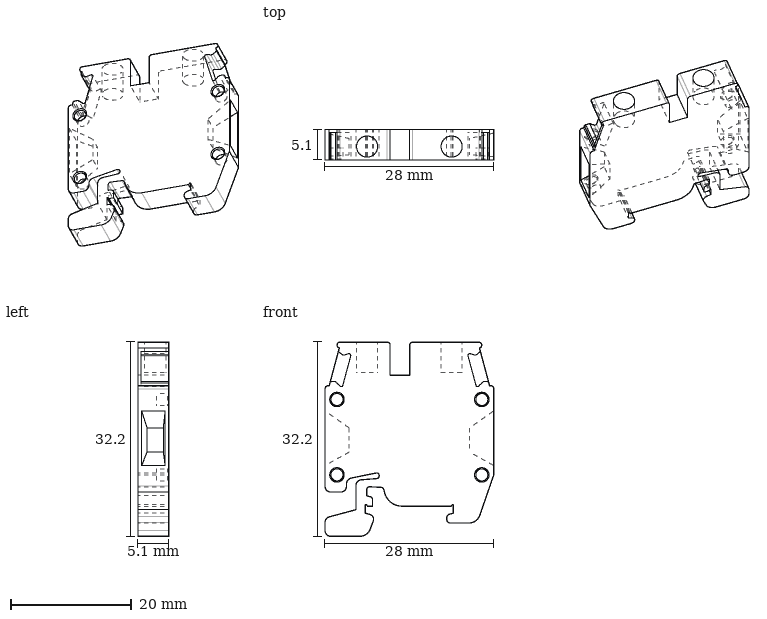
import cadquery as cq
import math

length = 28.0
thickness = 5.1
height = 32.21
mid_x = length / 2

draft = math.tan(math.radians(15))

body_bottom = 7.34
body_radius = 1.0
left_leg_right = 3.6

shoulder_bead_radius = 0.55
shoulder_bead_x = shoulder_bead_radius
shoulder_bead_z = 24.44
head_bead_radius = 0.5
head_bead_z = height - head_bead_radius
head_bead_x = shoulder_bead_x + (head_bead_z - shoulder_bead_z) * draft

notch_left = 10.83
notch_right = 14.05
notch_floor = 26.72
notch_radius = 0.5

seat_height = 5.0
seat_left = 6.72
seat_right = 21.26
relief_rise = 0.26
relief_flat = 0.14
relief_width = 0.36
lip_height = 3.87

hook_left = 20.15
hook_bottom = 2.2
hook_bottom_right = 25.23
hook_tip_radius = 0.7
hook_heel_radius = 2.0
hook_slope_top = 10.2

arm_left = 5.12
arm_right = 6.96
arm_foot_height = 4.45
arm_radius = 1.0
tooth_right = 7.9
tooth_root_height = 6.75
tooth_radius = 0.5
foot_radius = 1.0
toe_x = 7.07
toe_radius = 1.9
toe_tip_x = 8.36
toe_tip_z = lip_height - (toe_tip_x - seat_left) * draft
toe_tip_radius = 0.85

slit_end = 8.97
slit_upper_left = 9.5
slit_upper_end = 10.6
slit_lower_left = 9.34
slit_lower_end = 9.64
slit_end_radius = 0.4

pocket_top_left = 8.24
pocket_top_right = (9.65, 8.1)
pocket_radius = 0.4
body_corner_x = pocket_top_right[0] + (pocket_top_right[1] - seat_height) * draft
body_corner_radius = 3.0

marker_wall = 0.5
marker_overrun = 1.0
marker_sill_outer = (0.82, 25.45)
marker_sill_left = (1.05, 25.66)
marker_sill_right = (1.75, marker_sill_left[1])
marker_floor_bottom = (2.85, 24.6)
marker_floor_bottom_radius = 0.25
marker_floor_top = (4.42, 30.42)
marker_floor_top_radius = 0.3
marker_lintel_inner = (3.0, 30.02)
marker_lintel_radius = 0.5
marker_lintel_outer = (2.22, 30.65)

pin_diameter = 2.0
pin_chamfer = 0.2
pin_depth = 2.0
pin_inset = 2.0
pin_heights = (10.2, 22.7)

terminal_y = 2.25
screw_diameter = 3.5
screw_inset = 7.0
screw_depth = 5.0
funnel_depth = 4.0
funnel_mouth_width = 3.9
funnel_mouth_bottom = 11.74
funnel_mouth_top = 20.83
funnel_throat_width = 2.7
funnel_throat_bottom = 13.97
funnel_throat_top = 18.0


def rounded_outline(corners):
    """Closed XZ outline through (x, z, radius) corners; a zero radius leaves the corner sharp."""
    outline = None
    count = len(corners)
    for index, (x, z, radius) in enumerate(corners):
        corner = cq.Vector(x, z, 0)
        before = cq.Vector(*corners[index - 1][:2], 0)
        after = cq.Vector(*corners[(index + 1) % count][:2], 0)
        to_before = (before - corner).normalized()
        to_after = (after - corner).normalized()
        half_angle = to_before.getAngle(to_after) / 2
        tangent = radius / math.tan(half_angle)
        bisector = (to_before + to_after).normalized()
        start = (corner + to_before * tangent).toTuple()[:2]
        middle = (corner + bisector * (radius / math.sin(half_angle) - radius)).toTuple()[:2]
        end = (corner + to_after * tangent).toTuple()[:2]
        outline = outline.lineTo(*start) if outline else cq.Workplane("XZ").moveTo(*start)
        if radius > 0:
            outline = outline.threePointArc(middle, end)
    return outline.close()


def mirrored(shape):
    """Return the shape together with its mirror image at the other end of the block."""
    return shape.union(shape.mirror("YZ", (mid_x, 0, 0)))


def make_body():
    latch = [
        (0, 0, foot_radius),
        (toe_x, 0, toe_radius),
        (toe_tip_x, toe_tip_z, toe_tip_radius),
        (seat_left, lip_height, 0),
        (seat_left, seat_height + relief_rise, 0),
        (seat_left + relief_flat, seat_height + relief_rise, 0),
        (seat_left + relief_width, seat_height, 0),
        (tooth_right, seat_height, 0),
        (tooth_right, tooth_root_height - (tooth_right - arm_right) * draft, tooth_radius),
        (arm_right, tooth_root_height, 0),
        (arm_right, pocket_top_left, pocket_radius),
    ]
    seat = [
        (*pocket_top_right, pocket_radius),
        (body_corner_x, seat_height, body_corner_radius),
        (seat_right - relief_width, seat_height, 0),
        (seat_right - relief_flat, seat_height + relief_rise, 0),
        (seat_right, seat_height + relief_rise, 0),
        (seat_right, lip_height, 0),
    ]
    hook = [
        (hook_left, lip_height - (seat_right - hook_left) * draft, hook_tip_radius),
        (hook_left, hook_bottom, hook_tip_radius),
        (hook_bottom_right, hook_bottom, hook_heel_radius),
        (length, hook_slope_top, 0),
    ]
    left_shoulder = [
        (head_bead_x, height, 0),
        (head_bead_x, head_bead_z, 0),
        (shoulder_bead_x, shoulder_bead_z, 0),
        (0, shoulder_bead_z, 0),
    ]
    right_shoulder = [(length - x, z, radius) for x, z, radius in reversed(left_shoulder)]
    notch = [
        (notch_right, height, notch_radius),
        (notch_right, notch_floor, 0),
        (notch_left, notch_floor, 0),
        (notch_left, height, notch_radius),
    ]
    left_leg = [
        (0, body_bottom, body_radius),
        (left_leg_right, body_bottom, body_radius),
        (left_leg_right, slit_upper_left, body_radius),
    ]
    slit = [
        (slit_end, slit_upper_end, slit_end_radius),
        (slit_end, slit_lower_end, slit_end_radius),
        (arm_left, slit_lower_left, arm_radius),
    ]
    foot_top = [
        (arm_left, arm_foot_height, 0),
        (0, arm_foot_height - arm_left * draft, foot_radius),
    ]
    corners = latch + seat + hook + right_shoulder + notch + left_shoulder + left_leg + slit + foot_top
    return rounded_outline(corners).extrude(-thickness)


def edge_bead(x, z, radius):
    """Round bead along Y at one shoulder, with its mirror image at the other."""
    return mirrored(cq.Workplane("XZ").center(x, z).circle(radius).extrude(-thickness))


def marker_pockets():
    """Pockets open to the front and to the sloping shoulders, closed by a thin rear wall."""
    corners = [
        (-marker_overrun, marker_sill_outer[1], 0),
        (*marker_sill_outer, 0),
        (*marker_sill_left, 0),
        (*marker_sill_right, 0),
        (*marker_floor_bottom, marker_floor_bottom_radius),
        (*marker_floor_top, marker_floor_top_radius),
        (*marker_lintel_inner, marker_lintel_radius),
        (*marker_lintel_outer, 0),
        (-marker_overrun, marker_lintel_outer[1], 0),
    ]
    return mirrored(rounded_outline(corners).extrude(marker_wall - thickness))


def pin_holes():
    """Blind holes with a chamfered mouth in the front face."""
    radius = pin_diameter / 2
    profile = [
        (0, 0),
        (radius + pin_chamfer, 0),
        (radius, pin_chamfer),
        (radius, pin_depth),
        (0, pin_depth),
    ]
    hole = cq.Workplane("XY").polyline(profile).close().revolve(360, (0, 0), (0, 1))
    left_holes = cq.Workplane("XY")
    for pin_height in pin_heights:
        left_holes = left_holes.union(hole.translate((pin_inset, 0, pin_height)))
    return mirrored(left_holes)


def screw_holes():
    """Blind vertical holes in the top of the head."""
    hole = cq.Workplane("XY", origin=(screw_inset, terminal_y, height - screw_depth))
    return mirrored(hole.circle(screw_diameter / 2).extrude(screw_depth))


def wire_funnels():
    """Tapered rectangular wire entries in both ends."""
    mouth_z = (funnel_mouth_bottom + funnel_mouth_top) / 2
    throat_z = (funnel_throat_bottom + funnel_throat_top) / 2
    funnel = (
        cq.Workplane("YZ", origin=(0, thickness / 2, mouth_z))
        .rect(funnel_mouth_width, funnel_mouth_top - funnel_mouth_bottom)
        .workplane(offset=funnel_depth)
        .center(terminal_y - thickness / 2, throat_z - mouth_z)
        .rect(funnel_throat_width, funnel_throat_top - funnel_throat_bottom)
        .loft(ruled=True)
    )
    return mirrored(funnel)


result = (
    make_body()
    .union(edge_bead(shoulder_bead_x, shoulder_bead_z, shoulder_bead_radius))
    .union(edge_bead(head_bead_x, head_bead_z, head_bead_radius))
    .cut(marker_pockets())
    .cut(pin_holes())
    .cut(screw_holes())
    .cut(wire_funnels())
)